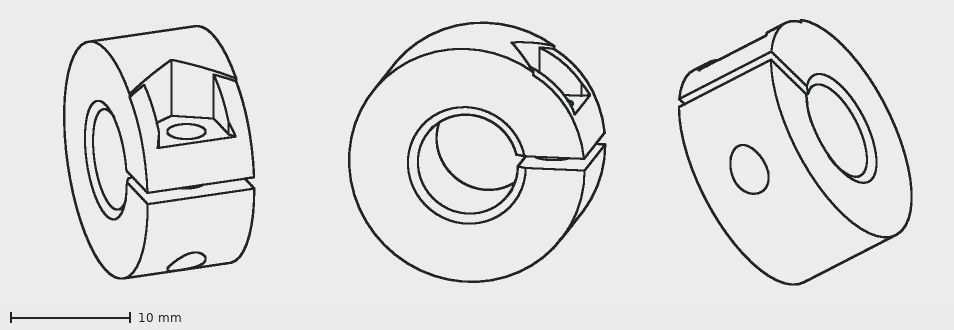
import cadquery as cq
import math

outer_radius = 9.99
width = 9.5
bore_radius = 4.24
rim_radius = 5.0
countersink_depth = (rim_radius - bore_radius) * math.tan(math.radians(30))

slit_width = 1.0

screw_x = 6.5
screw_hole_diameter = 3.2

nut_half_flats = 3.1
nut_corner_radius = nut_half_flats / math.cos(math.radians(30))
seat_z = 4.48
seat_edge_x = math.sqrt(outer_radius**2 - seat_z**2)

relief_radius = 8.47


def y_cylinder(radius, x=0, z=0):
    """Cylinder along Y over the full collar width, with its axis at (x, z)."""
    return cq.Workplane("XZ", origin=(x, width / 2, z)).circle(radius).extrude(width)


def make_collar():
    collar = y_cylinder(outer_radius).cut(y_cylinder(bore_radius))
    for side in (-1, 1):
        countersink = cq.Solid.makeCone(
            rim_radius,
            bore_radius,
            countersink_depth,
            pnt=cq.Vector(0, side * width / 2, 0),
            dir=cq.Vector(0, -side, 0),
        )
        collar = collar.cut(cq.Workplane(countersink))
    return collar


def make_slit():
    return cq.Workplane("XY").box(outer_radius, width, slit_width, centered=(False, True, False))


def make_screw_hole():
    return (
        cq.Workplane("XY", origin=(screw_x, 0, -outer_radius))
        .circle(screw_hole_diameter / 2)
        .extrude(2 * outer_radius)
    )


def extrude_from_seat(half_outline):
    """Prism above the seat; the half outline starts on the X axis and is mirrored."""
    mirrored = [(x, -y) for x, y in reversed(half_outline[1:])]
    return (
        cq.Workplane("XY", origin=(0, 0, seat_z))
        .polyline(half_outline + mirrored)
        .close()
        .extrude(outer_radius - seat_z)
    )


def make_nut_pocket():
    flat_end_x = screw_x + nut_corner_radius / 2
    flare = (outer_radius - flat_end_x) * math.tan(math.radians(30))
    return extrude_from_seat([
        (screw_x - nut_corner_radius, 0),
        (screw_x - nut_corner_radius / 2, nut_half_flats),
        (flat_end_x, nut_half_flats),
        (outer_radius, nut_half_flats + flare),
    ])


def make_rim_relief():
    corner_x = screw_x - nut_corner_radius
    side_x = corner_x + width / 2 * math.tan(math.radians(30))
    wedge = extrude_from_seat([
        (corner_x, 0),
        (side_x, width / 2),
        (seat_edge_x, width / 2),
    ])
    offset_ratio = (outer_radius - relief_radius) / outer_radius
    kept = y_cylinder(relief_radius, seat_edge_x * offset_ratio, seat_z * offset_ratio)
    return wedge.cut(kept)


result = (
    make_collar()
    .cut(make_rim_relief())
    .cut(make_nut_pocket())
    .cut(make_screw_hole())
    .cut(make_slit())
)